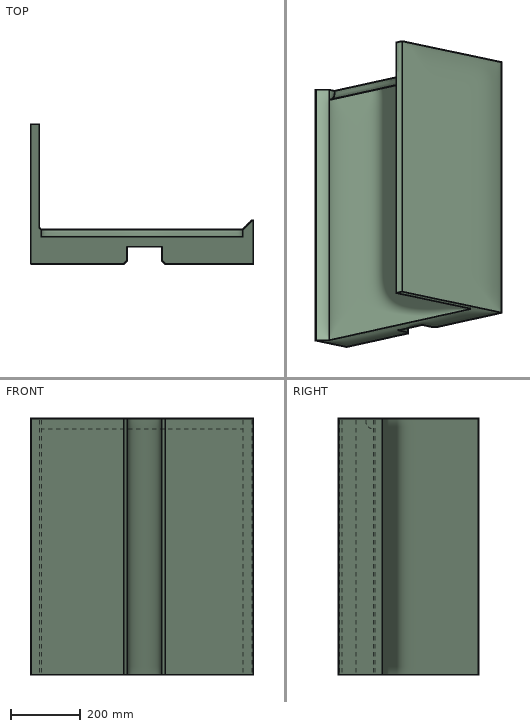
import cadquery as cq
import math

width = 644.5
depth = 405.5
height = 743.0
outer_corner_chamfer = 2.0

side_wall = 25.0
panel_rear = 100.5
corner_gusset = 5.0
lip_rear = 126.5
lip_base = 30.5
lip_tip = 4.5

groove_left = 279.5
groove_width = 100.0
groove_depth = 50.0
groove_chamfer = 10.0

recess_depth = 22.0
recess_height = 30.0


def make_body():
    groove_right = groove_left + groove_width
    points = [
        (outer_corner_chamfer, 0),
        (groove_left - groove_chamfer, 0),
        (groove_left, groove_chamfer),
        (groove_left, groove_depth),
        (groove_right, groove_depth),
        (groove_right, groove_chamfer),
        (groove_right + groove_chamfer, 0),
        (width, 0),
        (width, lip_rear),
        (width - lip_tip, lip_rear),
        (width - lip_base, panel_rear),
        (side_wall + corner_gusset, panel_rear),
        (side_wall, panel_rear + corner_gusset),
        (side_wall, depth),
        (0, depth),
        (0, outer_corner_chamfer),
    ]
    return cq.Workplane("XY").polyline(points).close().extrude(height)


def make_recess_cutter():
    left = side_wall + corner_gusset
    right = width - lip_base
    back = panel_rear - recess_depth
    floor = height - recess_height
    arc_center_z = floor + recess_depth
    arc_offset = recess_depth * math.sin(math.radians(45))
    arc_middle = (panel_rear - arc_offset, arc_center_z - arc_offset)
    return (
        cq.Workplane("YZ", origin=(left, 0, 0))
        .moveTo(panel_rear, height)
        .lineTo(back, height)
        .lineTo(back, arc_center_z)
        .threePointArc(arc_middle, (panel_rear, floor))
        .close()
        .extrude(right - left)
    )


result = make_body().cut(make_recess_cutter())